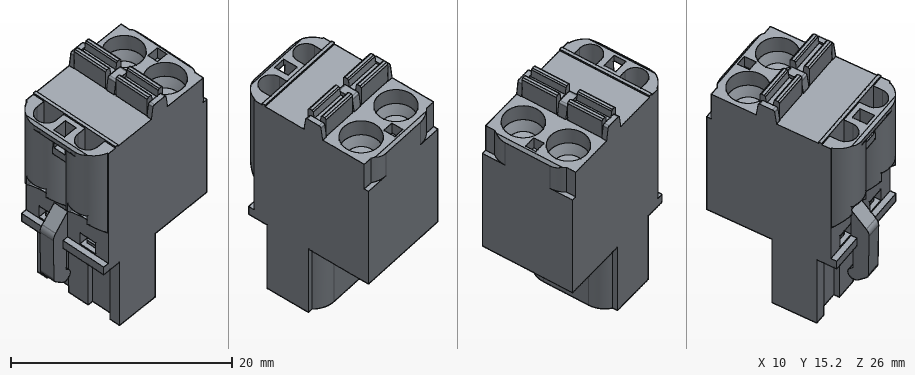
import cadquery as cq
import math


width = 10.0
pitch = width / 2
pole_radius = pitch / 2
pole_centres = (-pitch / 2, pitch / 2)

height = 26.0
body_top = 23.65
body_bottom = 8.3
front_wall_y = -13.29

rear_recess_depth = 0.5
rear_recess_bottom = 20.44
rear_bevel = 0.29

lip_front_y = -13.9
lip_top = 9.3

plug_rear_y = -6.0
plug_front_y = -11.78
plug_corner_depth = 0.95
groove_width = 2.63
groove_depth = 0.6

column_front_y = -15.0
column_axis_y = column_front_y + pole_radius
column_bottom = 13.2
slab_bottom = 22.9
column_bevel_width = 0.3
column_bevel_height = 0.2

wire_radius = 1.2
wire_rear_y = -12.32
wire_exit_top = 15.68

slot_width = 1.3
slot_rear_y = -12.82
slot_front_y = -14.38
slot_floor = 21.3
block_width = 1.66
block_bottom = 20.45
block_top_front_y = -14.27

screw_diameter = 4.0
screw_floor_diameter = 2.89
screw_depth = 1.82
screw_cone_depth = 0.95
screw_y = -2.85
rear_pocket_width = 1.15
rear_pocket_length = 1.27
rear_pocket_y = -1.15
rear_pocket_depth = 1.3

bead_rear_y = -11.99
bead_height = 0.18

ridge_top = 25.27
ridge_rear_y = -5.3
ridge_front_y = -7.5
ridge_taper = 0.23
ridge_fillet = 0.2
ridge_middle_width = 0.94
ridge_end_width = 0.55
key_width = 3.82
key_centre = 2.535
key_rear_y = -5.35
key_front_y = -7.44
key_bevel = 0.15
key_slot_floor = 25.06
key_slot_floor_width = 0.7
key_slot_top_width = 0.9
key_slot_bevel = 0.13

window_width = 1.87
window_bottom = 9.46
window_top = 10.9
window_depth = 1.35
wedge_width = 1.2
wedge_front_depth = 0.52
wedge_shoulder = 9.8
wedge_top = 10.65

latch_left = -1.59
latch_width = 1.65
latch_front_y = -15.2
latch_top = 12.64
latch_inner_y = -13.47
latch_bend = 5.2
latch_foot_y = -15.13
latch_foot_z = 4.85
hook_radius = 0.68
hook_centre_y = -13.6
hook_centre_z = 4.4
latch_shoulder_fillet = 1.01
latch_foot_fillet = 0.73


def block(x_range, y_range, z_range):
    """Rectangular block spanning the given ranges."""
    (x0, x1), (y0, y1), (z0, z1) = x_range, y_range, z_range
    return cq.Workplane("XY").box(x1 - x0, y1 - y0, z1 - z0, centered=False).translate((x0, y0, z0))


def centred_block(x, size, y_range, z_range):
    """Block of the given X size, centred on x."""
    return block((x - size / 2, x + size / 2), y_range, z_range)


def side_profile(points, x_start, length):
    """Closed (Y, Z) outline extruded along +X from x_start."""
    return cq.Workplane("YZ", origin=(x_start, 0, 0)).polyline(points).close().extrude(length)


def cylinder(x, y, radius, z_range):
    """Upright cylinder."""
    return cq.Workplane("XY", origin=(x, y, z_range[0])).circle(radius).extrude(z_range[1] - z_range[0])


def round_backed_block(rear_y, front_y, corner_depth, z_range):
    """Full-width block whose rear corners follow the pole radius down to two flat shoulders."""
    axis_y = rear_y - pole_radius
    shape = centred_block(0, width, (front_y, rear_y - corner_depth), z_range)
    rear = centred_block(0, pitch, (axis_y, rear_y), z_range)
    for x in pole_centres:
        rear = rear.union(cylinder(x, axis_y, pole_radius, z_range))
    return shape.union(rear)


def make_body():
    lower = centred_block(0, width, (front_wall_y, 0), (body_bottom, rear_recess_bottom))
    upper = round_backed_block(0, front_wall_y, rear_recess_depth, (rear_recess_bottom, body_top))
    bevel = side_profile(
        [(0, body_top - rear_bevel), (0, body_top), (-rear_bevel, body_top)], -width / 2, width
    )
    lip = centred_block(0, width, (lip_front_y, front_wall_y), (body_bottom, lip_top))
    bead = centred_block(0, width, (wire_rear_y, bead_rear_y), (body_top, body_top + bead_height))
    return lower.union(upper).cut(bevel).union(lip).union(bead)


def make_plug():
    plug = round_backed_block(plug_rear_y, plug_front_y, plug_corner_depth, (0, body_bottom))
    for x in pole_centres:
        groove_y = (plug_front_y, plug_front_y + groove_depth)
        plug = plug.cut(centred_block(x, groove_width, groove_y, (0, body_bottom)))
    return plug


def make_columns():
    """Two rounded columns joined by a slab at the top and a block around the test slot."""
    columns = centred_block(0, pitch, (column_front_y, front_wall_y), (slab_bottom, body_top))
    for x in pole_centres:
        columns = columns.union(cylinder(x, column_axis_y, pole_radius, (column_bottom, body_top)))
    columns = columns.union(
        side_profile(
            [
                (front_wall_y, block_bottom),
                (slot_front_y, block_bottom),
                (block_top_front_y, slab_bottom),
                (front_wall_y, slab_bottom),
            ],
            -block_width / 2,
            block_width,
        )
    )
    overhang = front_wall_y - column_front_y
    undercut = side_profile(
        [
            (front_wall_y, column_bottom),
            (column_front_y, column_bottom + overhang),
            (column_front_y, column_bottom),
        ],
        -width / 2,
        width,
    )
    bevel = side_profile(
        [
            (column_front_y, body_top - column_bevel_height),
            (column_front_y, body_top),
            (column_front_y + column_bevel_width, body_top),
        ],
        -width / 2,
        width,
    )
    return columns.cut(undercut).cut(bevel)


def make_wire_passage(x):
    """Vertical wire hole that leaves through a U-shaped opening at the foot of the column."""
    hole_z = (column_bottom + wire_radius, body_top)
    hole_front_y = front_wall_y - wire_radius
    rounded_front = cylinder(x, front_wall_y, wire_radius, hole_z).intersect(
        centred_block(x, 2 * wire_radius, (hole_front_y, front_wall_y), hole_z)
    )
    hole = centred_block(x, 2 * wire_radius, (front_wall_y, wire_rear_y), hole_z).union(rounded_front)
    exit_axis_z = column_bottom + wire_radius
    exit_length = wire_rear_y - column_front_y
    exit_floor = (
        cq.Workplane("XZ", origin=(x, wire_rear_y, exit_axis_z)).circle(wire_radius).extrude(exit_length)
    )
    exit_opening = centred_block(
        x, 2 * wire_radius, (column_front_y, wire_rear_y), (exit_axis_z, wire_exit_top)
    )
    return hole.union(exit_floor).union(exit_opening)


def make_screw_opening(x):
    """Round opening in the top with a conical transition to its floor."""
    shoulder_z = body_top - screw_depth
    cone = (
        cq.Workplane("XY", origin=(x, screw_y, shoulder_z))
        .circle(screw_diameter / 2)
        .workplane(offset=-screw_cone_depth)
        .circle(screw_floor_diameter / 2)
        .loft()
    )
    return cylinder(x, screw_y, screw_diameter / 2, (shoulder_z, body_top)).union(cone)


def make_window(x):
    """Pocket in the front wall, less the sloped wedge that stands on its floor."""
    back_y = front_wall_y + window_depth
    wedge_y = front_wall_y + wedge_front_depth
    pocket = centred_block(x, window_width, (front_wall_y, back_y), (window_bottom, window_top))
    wedge = side_profile(
        [(back_y, window_bottom), (wedge_y, window_bottom), (wedge_y, wedge_shoulder), (back_y, wedge_top)],
        x - wedge_width / 2,
        wedge_width,
    )
    return pocket.cut(wedge)


def make_ridge(x, length):
    """Tapered ridge with rounded top edges."""
    ridge = side_profile(
        [
            (ridge_rear_y, body_top),
            (ridge_rear_y - ridge_taper, ridge_top),
            (ridge_front_y + ridge_taper, ridge_top),
            (ridge_front_y, body_top),
        ],
        x - length / 2,
        length,
    )
    return ridge.faces(">Z").edges("|X").fillet(ridge_fillet)


def make_key(x):
    """Marker key with a tapered, bevelled slot along its top."""
    middle_y = (key_rear_y + key_front_y) / 2
    slot_outline = (
        (key_slot_floor_width / 2, key_slot_floor),
        (key_slot_top_width / 2, height - key_slot_bevel),
        (key_slot_top_width / 2 + key_slot_bevel, height),
    )
    front_side = [(middle_y - offset, z) for offset, z in slot_outline]
    rear_side = [(middle_y + offset, z) for offset, z in reversed(slot_outline)]
    key = centred_block(x, key_width, (key_front_y, key_rear_y), (body_top, height))
    key = key.faces(">Z").edges("|X").chamfer(key_bevel)
    slot = side_profile(front_side + rear_side, x - key_width / 2, key_width)
    return key.cut(slot)


def make_latch():
    """Latch arm with a sloped shoulder and a rounded hook at its lower end."""
    shoulder_z = latch_top - (front_wall_y - latch_front_y)
    diagonal = hook_radius * math.cos(math.radians(45))
    hook_rear = (hook_centre_y + diagonal, hook_centre_z + diagonal)
    hook_front = (hook_centre_y - diagonal, hook_centre_z - diagonal)
    hook_bottom = (hook_centre_y + diagonal, hook_centre_z - diagonal)
    arm = (
        cq.Workplane("YZ", origin=(latch_left, 0, 0))
        .moveTo(front_wall_y, latch_top)
        .lineTo(latch_front_y, shoulder_z)
        .lineTo(latch_foot_y, latch_foot_z)
        .lineTo(*hook_front)
        .threePointArc(hook_bottom, hook_rear)
        .lineTo(latch_inner_y, latch_bend)
        .lineTo(latch_inner_y, body_bottom)
        .lineTo(front_wall_y, body_bottom)
        .close()
        .extrude(latch_width)
    )
    corner_size = 0.03
    rounded_corners = (
        (latch_front_y, shoulder_z, latch_shoulder_fillet),
        (latch_foot_y, latch_foot_z, latch_foot_fillet),
    )
    for y, z, radius in rounded_corners:
        corner = cq.selectors.BoxSelector(
            (latch_left, y - corner_size, z - corner_size),
            (latch_left + latch_width, y + corner_size, z + corner_size),
        )
        arm = arm.edges(corner).fillet(radius)
    return arm


result = make_body().union(make_plug()).union(make_columns())

for pole_x in pole_centres:
    result = result.cut(make_wire_passage(pole_x))
    result = result.cut(make_screw_opening(pole_x))
    result = result.cut(make_window(pole_x))

test_slot = centred_block(0, slot_width, (slot_front_y, slot_rear_y), (slot_floor, body_top))
rear_pocket = centred_block(
    0,
    rear_pocket_width,
    (rear_pocket_y - rear_pocket_length / 2, rear_pocket_y + rear_pocket_length / 2),
    (body_top - rear_pocket_depth, body_top),
)
result = result.cut(test_slot).cut(rear_pocket)

result = result.union(make_latch())
result = result.union(make_ridge(0, ridge_middle_width))
for side in (-1, 1):
    result = result.union(make_ridge(side * (width - ridge_end_width) / 2, ridge_end_width))
    result = result.union(make_key(side * key_centre))